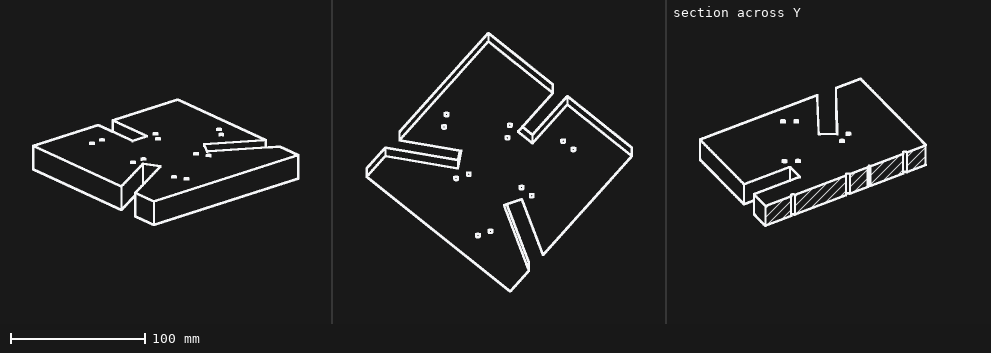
import cadquery as cq

side = 140.0
thickness = 19.0

arm_count = 3
arm_step = 360.0 / arm_count

slot_width = 14.0
slot_end_radius = 30.0
slot_length = side

hole_diameter = 3.0
hole_columns_x = (-45.9, 2.0)
hole_row_y = -23.4
hole_pair_pitch = 10.0
hole_rows_y = (hole_row_y, hole_row_y - hole_pair_pitch)


def make_slot():
    """Cutter for the open slot along -X."""
    return (
        cq.Workplane("XY")
        .center(-slot_end_radius - slot_length / 2, 0)
        .rect(slot_length, slot_width)
        .extrude(thickness)
    )


def make_holes():
    """Cutter for the four through holes of one arm."""
    centres = [(x, y) for x in hole_columns_x for y in hole_rows_y]
    return (
        cq.Workplane("XY")
        .pushPoints(centres)
        .circle(hole_diameter / 2)
        .extrude(thickness)
    )


result = cq.Workplane("XY").rect(side, side).extrude(thickness)

for arm in range(arm_count):
    angle = arm * arm_step
    for cutter in (make_slot(), make_holes()):
        result = result.cut(cutter.rotate((0, 0, 0), (0, 0, 1), angle))